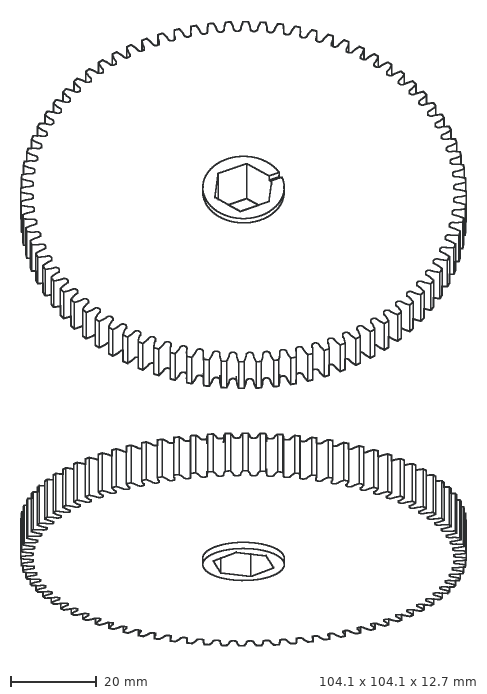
import cadquery as cq
import math

outer_diameter = 104.1
tooth_count = 80
pressure_angle = math.radians(14.5)
root_radius = 49.1
root_round_height = 0.4
flank_points = 4

overall_height = 12.7
hub_projection = 1.6
hub_diameter = 19.0
hex_across_flats = 12.7
notch_width = 1.6

outer_radius = outer_diameter / 2
module = outer_diameter / (tooth_count + 2)
pitch_radius = module * tooth_count / 2
base_radius = pitch_radius * math.cos(pressure_angle)
tooth_pitch = 2 * math.pi / tooth_count
flank_start_radius = root_radius + root_round_height
gear_height = overall_height - 2 * hub_projection
hub_top = overall_height / 2


def polar(radius, angle):
    return (radius * math.cos(angle), radius * math.sin(angle))


def involute(angle):
    return math.tan(angle) - angle


def half_gap_angle(radius):
    """Half the angle of a tooth gap at the given radius; tooth and gap match on the pitch circle."""
    flank_angle = math.acos(base_radius / radius)
    return tooth_pitch / 4 + involute(flank_angle) - involute(pressure_angle)


def flank(gap_angle, side):
    """Points from the bottom to the tip of one flank; side is -1 or +1 about the gap centre."""
    step = (outer_radius - flank_start_radius) / (flank_points - 1)
    radii = [flank_start_radius + i * step for i in range(flank_points)]
    return [polar(radius, gap_angle + side * half_gap_angle(radius)) for radius in radii]


def gear_body():
    """Toothed disc with a gap centred on +X; one smooth curve runs down, around and up each gap."""
    first_tip = flank(0, -1)[-1]
    outline = cq.Workplane("XY", origin=(0, 0, -gear_height / 2)).moveTo(*first_tip)
    for gap in range(tooth_count):
        gap_angle = gap * tooth_pitch
        falling = flank(gap_angle, -1)[::-1]
        rising = flank(gap_angle, 1)
        root = polar(root_radius, gap_angle)
        next_tip = flank(gap_angle + tooth_pitch, -1)[-1]
        if gap == tooth_count - 1:
            next_tip = first_tip
        outline = (
            outline.spline(falling[1:] + [root] + rising, includeCurrent=True)
            .threePointArc(polar(outer_radius, gap_angle + tooth_pitch / 2), next_tip)
        )
    return outline.close().extrude(gear_height)


def hub():
    return cq.Workplane("XY").circle(hub_diameter / 2).extrude(hub_top, both=True)


def hex_bore():
    """Hexagon with two flats facing +X and -X, through the whole height."""
    across_corners = hex_across_flats / math.cos(math.pi / 6)
    return (
        cq.Workplane("XY")
        .transformed(rotate=(0, 0, 90))
        .polygon(6, across_corners)
        .extrude(hub_top, both=True)
    )


def hub_notch():
    """Slot through the +Y side of the upper hub, down to the gear face."""
    return (
        cq.Workplane("XY", origin=(0, 0, hub_top - hub_projection))
        .rect(notch_width, hub_diameter)
        .extrude(hub_projection)
        .translate((0, hub_diameter / 2, 0))
    )


result = gear_body().union(hub()).cut(hex_bore()).cut(hub_notch())